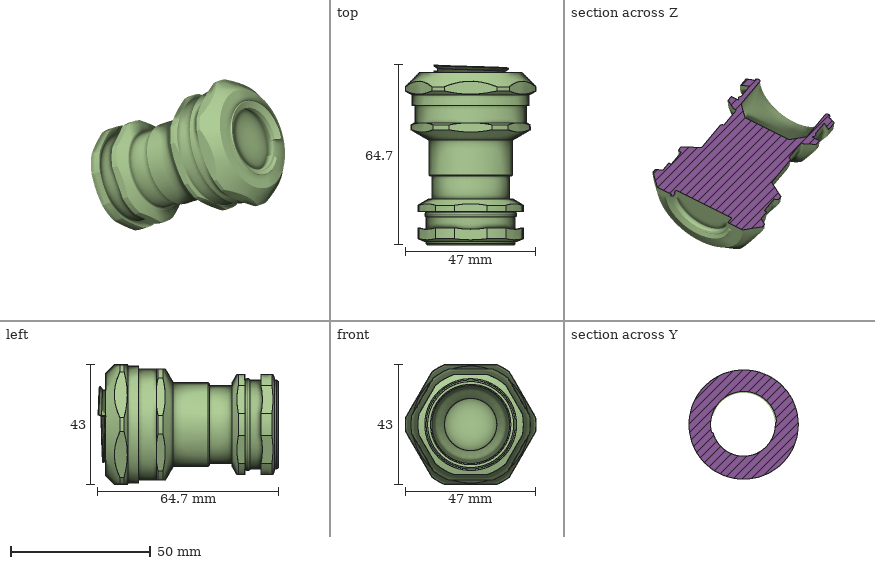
import cadquery as cq
import math


thread_radius = 16.0
rim_radius = 15.45
rim_chamfer_length = 0.6

small_hex_flats = 36.0
small_corner_radius = 18.93
nut_front = 1.28
nut_front_radius = 16.5
nut_bevel_end = 2.31
nut_back = 6.24
nut_dish_angle = 30.0

ring_outer_radius = 16.5
ring_section_radius = 1.0

flange_front = 12.0
flange_bevel_start = 14.3
flange_bevel_end = 16.57
flange_back_radius = 15.05

neck_radius = 14.0
collar_front = 24.75
collar_radius = 15.04
collar_chamfer = 0.5
collar_back = 37.73

middle_hex_flats = 40.0
middle_corner_radius = 21.43
middle_bevel_end = 41.45
middle_back_bevel_start = 43.2
middle_back = 43.8
middle_back_radius = 20.3

barrel_radius = 20.0
shoulder_front = 50.2
shoulder_back = 53.97
shoulder_radius = 21.03

large_hex_flats = 43.0
large_corner_radius = 23.5
large_bevel_end = 55.4
large_back_bevel_start = 56.9
large_back = 62.05
large_back_radius = large_corner_radius - (large_back - large_back_bevel_start)

bore_mouth_radius = 14.45
bore_front_radius = 14.0
bore_mouth_depth = 0.5
bore_straight_depth = 13.0
bore_end_radius = 9.4
bore_depth = bore_straight_depth + bore_front_radius - bore_end_radius

lip_top = 64.73
lip_pitch = 2.4
lip_tip_radius = 13.65
lip_edge_radius = 13.5
lip_edge_height = 0.3
lip_flare_height = 1.25
lip_wall_height = 3.0
lip_outer_radius = 12.35
lip_inner_radius = 11.3
lip_start_angle = 195.0
lip_turns = 0.92
lip_drop = lip_pitch * lip_turns

rear_bore_radius = 11.8
rear_bore_floor = lip_top - lip_drop - lip_wall_height


def turned(profile):
    """Revolve (radius, station) points about the part axis, laid along local Z."""
    return cq.Workplane("XZ").polyline(profile).close().revolve(360, (0, 0, 0), (0, 1, 0))


def cylinder(radius, start, end):
    return cq.Workplane("XY").workplane(offset=start).circle(radius).extrude(end - start)


def turned_hex(across_flats, profile):
    """Hexagonal collar whose corners are trimmed by a turned profile."""
    corner_diameter = across_flats / math.cos(math.pi / 6)
    start = min(station for _, station in profile)
    end = max(station for _, station in profile)
    prism = cq.Workplane("XY").workplane(offset=start).polygon(6, corner_diameter).extrude(end - start)
    return prism.intersect(turned(profile))


def thread_sleeve():
    return turned([
        (0, 0),
        (rim_radius, 0),
        (thread_radius, rim_chamfer_length),
        (thread_radius, flange_front),
        (0, flange_front),
    ])


def lock_nut():
    dish_depth = (small_corner_radius - thread_radius) * math.tan(math.radians(nut_dish_angle))
    return turned_hex(small_hex_flats, [
        (0, nut_front),
        (nut_front_radius, nut_front),
        (small_corner_radius, nut_bevel_end),
        (small_corner_radius, nut_back),
        (thread_radius, nut_back - dish_depth),
        (0, nut_back - dish_depth),
    ])


def sealing_ring():
    center_radius = ring_outer_radius - ring_section_radius
    center_station = flange_front - ring_section_radius
    section = cq.Workplane("XZ").center(center_radius, center_station).circle(ring_section_radius)
    return section.revolve(360, (-center_radius, 0, 0), (-center_radius, 1, 0))


def small_flange():
    return turned_hex(small_hex_flats, [
        (0, flange_front),
        (small_corner_radius, flange_front),
        (small_corner_radius, flange_bevel_start),
        (flange_back_radius, flange_bevel_end),
        (0, flange_bevel_end),
    ])


def neck_and_collar():
    neck = cylinder(neck_radius, flange_bevel_end, collar_front)
    collar = cylinder(collar_radius, collar_front, collar_back).faces("<Z").chamfer(collar_chamfer)
    return neck.union(collar)


def middle_flange():
    return turned_hex(middle_hex_flats, [
        (0, collar_back),
        (collar_radius, collar_back),
        (middle_corner_radius, middle_bevel_end),
        (middle_corner_radius, middle_back_bevel_start),
        (middle_back_radius, middle_back),
        (0, middle_back),
    ])


def barrel_and_shoulder():
    barrel = cylinder(barrel_radius, middle_back, shoulder_front)
    return barrel.union(cylinder(shoulder_radius, shoulder_front, shoulder_back))


def large_nut():
    return turned_hex(large_hex_flats, [
        (0, shoulder_back),
        (shoulder_radius, shoulder_back),
        (large_corner_radius, large_bevel_end),
        (large_corner_radius, large_back_bevel_start),
        (large_back_radius, large_back),
        (0, large_back),
    ])


def front_bore():
    return turned([
        (0, 0),
        (bore_mouth_radius, 0),
        (bore_front_radius, bore_mouth_depth),
        (bore_front_radius, bore_straight_depth),
        (bore_end_radius, bore_depth),
        (0, bore_depth),
    ])


def rear_bore():
    return cylinder(rear_bore_radius, rear_bore_floor, large_back)


def hose_lip():
    """Nearly one left-hand turn of a flared wall that climbs out of the rear bore."""
    low_top = lip_top - lip_drop
    path = cq.Wire.makeHelix(lip_pitch, lip_drop, lip_outer_radius, cq.Vector(0, 0, low_top), lefthand=True)
    profile = [
        (lip_inner_radius, low_top - lip_wall_height),
        (lip_outer_radius, low_top - lip_wall_height),
        (lip_outer_radius, low_top - lip_flare_height),
        (lip_tip_radius, low_top - lip_edge_height),
        (lip_edge_radius, low_top),
        (lip_inner_radius, low_top - lip_flare_height),
    ]
    lip = cq.Workplane("XZ").polyline(profile).close().sweep(cq.Workplane(path), isFrenet=True)
    return lip.rotate((0, 0, 0), (0, 0, 1), lip_start_angle + 360 * lip_turns)


body = thread_sleeve()
for section in (
    lock_nut(),
    sealing_ring(),
    small_flange(),
    neck_and_collar(),
    middle_flange(),
    barrel_and_shoulder(),
    large_nut(),
):
    body = body.union(section)
body = body.cut(front_bore()).cut(rear_bore()).union(hose_lip())

result = body.rotate((0, 0, 0), (1, 0, 0), -90)